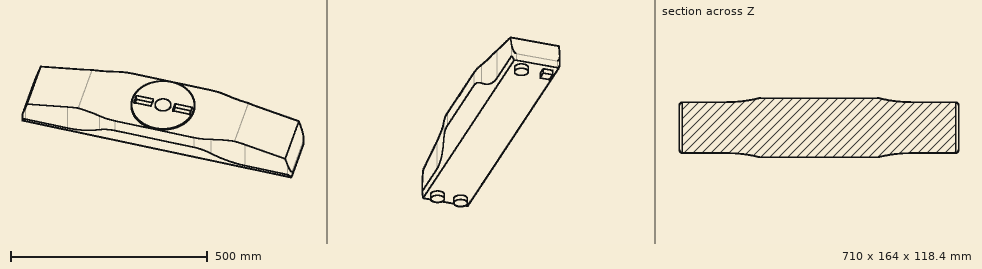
import cadquery as cq
import math

LENGTH = 710.0
MIDDLE_WIDTH = 164.0
END_WIDTH = 130.0
MIDDLE_FLAT_HALF_LENGTH = 104.0
SHOULDER_RADIUS = 165.0
NECK_RADIUS = 340.0
CORNER_RADIUS = 10.0

BODY_HEIGHT = 103.0
TOP_FLAT_HALF_LENGTH = 206.0
END_TOP_HALF_LENGTH = 340.0
END_TOP_HEIGHT = 75.0
END_WALL_HEIGHT = 20.0

BOTTOM_WIDTH = 120.0
FLANK_HEIGHT = 65.0

DISC_DIAMETER = 162.0
DISC_HEIGHT = 2.4
DISC_CHAMFER = 1.5
BORE_DIAMETER = 40.0
BORE_DEPTH = 50.0
POCKET_LENGTH = 45.0
POCKET_WIDTH = 24.0
POCKET_DEPTH = 15.0
POCKET_OFFSET = 51.0

FOOT_HEIGHT = 13.0
FOOT_DIAMETER = 35.0
FOOT_X = 326.0
FOOT_Y = 31.0
SQUARE_FOOT_SIDE = 25.0

TOP_Z = BODY_HEIGHT + DISC_HEIGHT


def side_points():
    """Points along the +X, +Y side of the plan, from the middle flat to the straight end."""
    half_width = MIDDLE_WIDTH / 2
    drop = (MIDDLE_WIDTH - END_WIDTH) / 2
    turn = math.acos(1 - drop / (SHOULDER_RADIUS + NECK_RADIUS))

    def shoulder(angle):
        x = MIDDLE_FLAT_HALF_LENGTH + SHOULDER_RADIUS * math.sin(angle)
        return (x, half_width - SHOULDER_RADIUS * (1 - math.cos(angle)))

    neck_end_x = MIDDLE_FLAT_HALF_LENGTH + (SHOULDER_RADIUS + NECK_RADIUS) * math.sin(turn)

    def neck(angle):
        x = neck_end_x - NECK_RADIUS * math.sin(angle)
        return (x, END_WIDTH / 2 + NECK_RADIUS * (1 - math.cos(angle)))

    return [shoulder(0), shoulder(turn / 2), shoulder(turn), neck(turn / 2), neck(0)]


def make_plan_block():
    """The plan outline raised to full body height, with rounded end corners."""
    def placed(x_sign, y_sign):
        return [(x_sign * x, y_sign * y) for x, y in side_points()]

    front_right = placed(1, -1)
    back_right = placed(1, 1)[::-1]
    back_left = placed(-1, 1)
    front_left = placed(-1, -1)[::-1]

    def add_side(outline, points):
        start, first_mid, joint, second_mid, end = points
        outline = outline.lineTo(*start).threePointArc(first_mid, joint)
        return outline.threePointArc(second_mid, end)

    half_length = LENGTH / 2
    half_end = END_WIDTH / 2
    outline = cq.Workplane("XY").moveTo(0, -MIDDLE_WIDTH / 2)
    outline = add_side(outline, front_right)
    outline = outline.lineTo(half_length, -half_end).lineTo(half_length, half_end)
    outline = add_side(outline, back_right)
    outline = add_side(outline, back_left)
    outline = outline.lineTo(-half_length, half_end).lineTo(-half_length, -half_end)
    outline = add_side(outline, front_left)
    block = outline.close().extrude(BODY_HEIGHT)
    return block.edges("|Z and (<X or >X)").fillet(CORNER_RADIUS)


def make_profile_prism():
    """The lengthwise profile with its sloping top and ends, spanning the body's width."""
    right_side = [
        (LENGTH / 2, 0),
        (LENGTH / 2, END_WALL_HEIGHT),
        (END_TOP_HALF_LENGTH, END_TOP_HEIGHT),
        (TOP_FLAT_HALF_LENGTH, BODY_HEIGHT),
    ]
    left_side = [(-x, z) for x, z in reversed(right_side)]
    profile = cq.Workplane("XZ").polyline(right_side + left_side).close()
    return profile.extrude(MIDDLE_WIDTH / 2, both=True)


def make_section_prism():
    """The cross-section with its tapered lower flanks, spanning the body's length."""
    right_side = [
        (BOTTOM_WIDTH / 2, 0),
        (MIDDLE_WIDTH / 2, FLANK_HEIGHT),
        (MIDDLE_WIDTH / 2, BODY_HEIGHT),
    ]
    left_side = [(-y, z) for y, z in reversed(right_side)]
    section = cq.Workplane("YZ").polyline(right_side + left_side).close()
    return section.extrude(LENGTH / 2, both=True)


def make_body():
    return make_plan_block().intersect(make_profile_prism()).intersect(make_section_prism())


def make_disc():
    body_top = cq.Workplane("XY").workplane(offset=BODY_HEIGHT)
    disc = body_top.circle(DISC_DIAMETER / 2).extrude(DISC_HEIGHT)
    return disc.faces(">Z").edges().chamfer(DISC_CHAMFER)


def make_top_cuts():
    """The central bore and the pocket on either side of it."""
    top = cq.Workplane("XY").workplane(offset=TOP_Z)
    bore = top.circle(BORE_DIAMETER / 2).extrude(-BORE_DEPTH)
    pockets = top.pushPoints([(-POCKET_OFFSET, 0), (POCKET_OFFSET, 0)])
    return bore.union(pockets.rect(POCKET_LENGTH, POCKET_WIDTH).extrude(-POCKET_DEPTH))


def make_feet():
    round_places = [(-FOOT_X, FOOT_Y), (FOOT_X, FOOT_Y), (FOOT_X, -FOOT_Y)]
    underside = cq.Workplane("XY")
    round_feet = underside.pushPoints(round_places).circle(FOOT_DIAMETER / 2).extrude(-FOOT_HEIGHT)
    square_y = -(FOOT_Y + FOOT_DIAMETER / 2 - SQUARE_FOOT_SIDE / 2)
    square_place = underside.center(-FOOT_X, square_y)
    square_foot = square_place.rect(SQUARE_FOOT_SIDE, SQUARE_FOOT_SIDE).extrude(-FOOT_HEIGHT)
    return round_feet.union(square_foot)


result = make_body().union(make_disc()).cut(make_top_cuts()).union(make_feet())